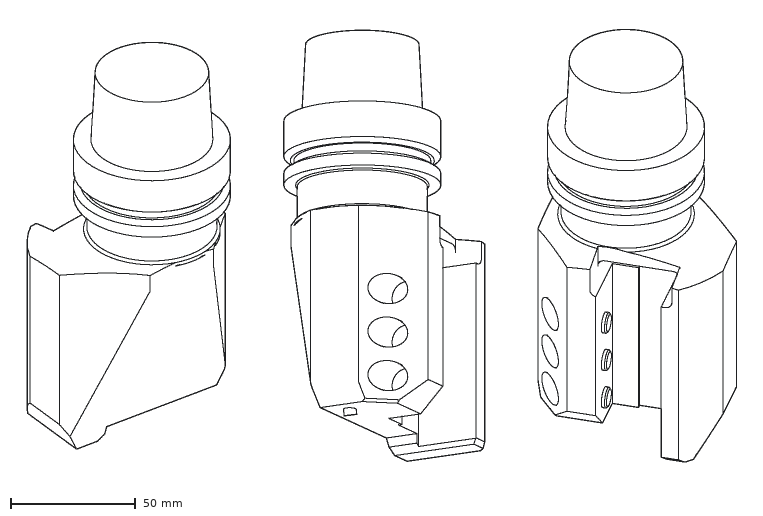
import cadquery as cq
import math

total_height = 163.9
flange_top = 132.3
flange_bottom = 105.7
neck_foot = 91.1

taper_top_radius = 22.8
taper_base_radius = 24.5
flange_radius = 63.0 / 2
groove_radius = 54.9 / 2
neck_radius = 52.1 / 2
neck_top_bevel = 0.7

groove_top = 117.5
groove_bottom = 110.6
groove_bevel_height = 1.6
groove_bevel_depth = 2.6

head_left = -38.0
head_right = 26.4
head_back = 32.1
head_front = -45.9
head_round_radius = 50.0
back_bevel_start_y = 14.0
back_bevel_end_x = -16.2
back_flat_end_x = 5.7
front_flat_end_x = 0.3
shoulder_height = 90.1
shoulder_radius = neck_radius + 1.3
shoulder_slope = 15.5
blank_radius = 57.4

slot_back = 2.0
slot_front = -25.2
slot_step_y = -8.9
slot_seat_x = -13.3
slot_relief_depth = 1.6
slot_floor_x = slot_seat_x + slot_relief_depth
pocket_back = 4.5
pocket_front = -29.7
pocket_bottom = 74.4
pocket_top = 84.2
pocket_corner_radius = 3.0
notch_floor_x = -26.2

jaw_bottom = 6.9
jaw_edge_y = -24.1
wedge_top = 81.3
bevel_top = 14.8
front_bevel_width = 8.5
back_bevel_width = 2.0
jaw_bevel = 10.2
slanted_bevel = 1.1
toe_bevel = 3.0
left_bevel = 2.0

screw_heights = [17.9, 35.9, 54.0]
screw_x = -25.4
screw_hole_diameter = 12.5
screw_hole_bottom_y = 9.8
screw_tip_diameter = 8.5
screw_tip_y = 0.0
screw_tip_chamfer = 0.7
nozzle_diameter = 5.0
nozzle_x = -6.5
nozzle_y = 22.0
nozzle_length = 2.3
nozzle_root = 3.3
nozzle_tilt = 15.0

cut_size = 245.8


def box_between(low, high):
    """Box spanning two opposite corners."""
    size = [b - a for a, b in zip(low, high)]
    return cq.Workplane("XY").box(*size, centered=False).translate(low)


def beyond_plane(point, normal):
    """Large block filling the space on the normal side of a plane."""
    plane = cq.Plane(origin=point, normal=normal)
    return cq.Workplane(plane).rect(cut_size, cut_size).extrude(cut_size)


def make_shank():
    """Taper, grooved flange and neck turned about the Z axis."""
    bevel_radius = flange_radius - groove_bevel_depth
    return (
        cq.Workplane("XZ")
        .moveTo(0, shoulder_height - 1.6)
        .lineTo(shoulder_radius, shoulder_height - 1.6)
        .lineTo(shoulder_radius, shoulder_height)
        .lineTo(neck_radius, neck_foot)
        .lineTo(neck_radius, flange_bottom - neck_top_bevel)
        .lineTo(neck_radius + neck_top_bevel, flange_bottom)
        .lineTo(flange_radius, flange_bottom)
        .lineTo(flange_radius, groove_bottom)
        .lineTo(bevel_radius, groove_bottom + groove_bevel_height)
        .lineTo(groove_radius, groove_bottom + groove_bevel_height)
        .lineTo(groove_radius, groove_top - groove_bevel_height)
        .lineTo(bevel_radius, groove_top - groove_bevel_height)
        .lineTo(flange_radius, groove_top)
        .lineTo(flange_radius, flange_top)
        .lineTo(taper_base_radius, flange_top)
        .lineTo(taper_top_radius, total_height)
        .lineTo(0, total_height)
        .close()
        .revolve(360, (0, 0, 0), (0, 1, 0))
    )


def make_head():
    """Prism with a conical shoulder on top."""
    round_start_x = -math.sqrt(head_round_radius**2 - head_front**2)
    round_end_y = -math.sqrt(head_round_radius**2 - head_left**2)
    middle_angle = (math.atan2(head_front, round_start_x) + math.atan2(round_end_y, head_left)) / 2
    round_middle = (head_round_radius * math.cos(middle_angle), head_round_radius * math.sin(middle_angle))
    back_corner_y = head_back - (head_right - back_flat_end_x)
    front_corner_y = head_front + (head_right - front_flat_end_x)
    prism = (
        cq.Workplane("XY")
        .moveTo(head_left, back_bevel_start_y)
        .lineTo(back_bevel_end_x, head_back)
        .lineTo(back_flat_end_x, head_back)
        .lineTo(head_right, back_corner_y)
        .lineTo(head_right, front_corner_y)
        .lineTo(front_flat_end_x, head_front)
        .lineTo(round_start_x, head_front)
        .threePointArc(round_middle, (head_left, round_end_y))
        .close()
        .extrude(shoulder_height)
    )
    rim_drop = (blank_radius - shoulder_radius) * math.tan(math.radians(shoulder_slope))
    blank = (
        cq.Workplane("XZ")
        .lineTo(blank_radius, 0)
        .lineTo(blank_radius, shoulder_height - rim_drop)
        .lineTo(shoulder_radius, shoulder_height)
        .lineTo(0, shoulder_height)
        .close()
        .revolve(360, (0, 0, 0), (0, 1, 0))
    )
    return prism.intersect(blank)


def cut_slot(head):
    """Stepped tool slot, rounded cross pocket and the notch open to the top."""
    open_x = head_left - 1.6
    seat = box_between((open_x, slot_step_y, -1.6), (slot_seat_x, slot_back, pocket_top - pocket_corner_radius))
    relief = box_between(
        (open_x, slot_front, -1.6), (slot_floor_x, slot_step_y, pocket_top - pocket_corner_radius)
    )
    pocket = box_between((open_x, pocket_front, pocket_bottom), (slot_floor_x, pocket_back, pocket_top))
    pocket = pocket.edges("|X").fillet(pocket_corner_radius)
    notch_bottom = pocket_bottom + pocket_corner_radius
    notch = box_between((open_x, pocket_front, notch_bottom), (notch_floor_x, pocket_back, neck_foot))
    return head.cut(seat).cut(relief).cut(pocket).cut(notch)


def cut_underside(head):
    """Raised jaw bottom, sloping right side and bevelled lower edges."""
    head = head.cut(box_between((-cut_size, jaw_edge_y, -1.6), (cut_size, cut_size, jaw_bottom)))
    head = head.cut(beyond_plane((front_flat_end_x, 0, 0), (wedge_top, 0, front_flat_end_x - head_right)))
    head = head.cut(beyond_plane((0, head_front, bevel_top), (0, -bevel_top, -front_bevel_width)))
    back_bevel_height = bevel_top - jaw_bottom
    head = head.cut(beyond_plane((0, head_back, bevel_top), (0, back_bevel_height, -back_bevel_width)))
    head = head.cut(beyond_plane((0, jaw_edge_y, toe_bevel), (0, 1, -1)).intersect(
        box_between((-cut_size, -cut_size, -1.6), (cut_size, jaw_edge_y + 1.6, jaw_bottom))
    ))
    head = head.cut(beyond_plane((head_left, 0, left_bevel), (-1, 0, -1)))

    jaw_space = box_between((-cut_size, slot_step_y, -1.6), (cut_size, cut_size, bevel_top + jaw_bevel))
    left = beyond_plane((head_left, 0, jaw_bottom + jaw_bevel), (-1, 0, -1))
    run_x = back_bevel_end_x - head_left
    run_y = head_back - back_bevel_start_y
    slanted = beyond_plane(
        (head_left, back_bevel_start_y, jaw_bottom + slanted_bevel),
        (-run_y, run_x, -math.hypot(run_x, run_y)),
    )
    return head.cut(left.intersect(jaw_space)).cut(slanted.intersect(jaw_space))


def add_clamping_screws(head):
    """Screw holes from the back, with screw tips standing into the slot."""
    for height in screw_heights:
        hole = (
            cq.Workplane("XZ", origin=(screw_x, screw_hole_bottom_y, height))
            .circle(screw_hole_diameter / 2)
            .extrude(-head_back)
        )
        tip = (
            cq.Workplane("XZ", origin=(screw_x, slot_back + 1.6, height))
            .circle(screw_tip_diameter / 2)
            .extrude(slot_back + 1.6 - screw_tip_y)
            .faces("<Y")
            .chamfer(screw_tip_chamfer)
        )
        head = head.cut(hole).union(tip)
    return head


def make_nozzle():
    """Short coolant nozzle leaning towards the slot."""
    root = (nozzle_x, nozzle_y, jaw_bottom)
    return (
        cq.Workplane("XY")
        .circle(nozzle_diameter / 2)
        .extrude(nozzle_length + nozzle_root)
        .translate((0, 0, -nozzle_length))
        .rotate((0, 0, 0), (1, 0, 0), -nozzle_tilt)
        .translate(root)
    )


holder = make_head().union(make_shank())
holder = add_clamping_screws(cut_underside(cut_slot(holder)))
result = holder.union(make_nozzle())